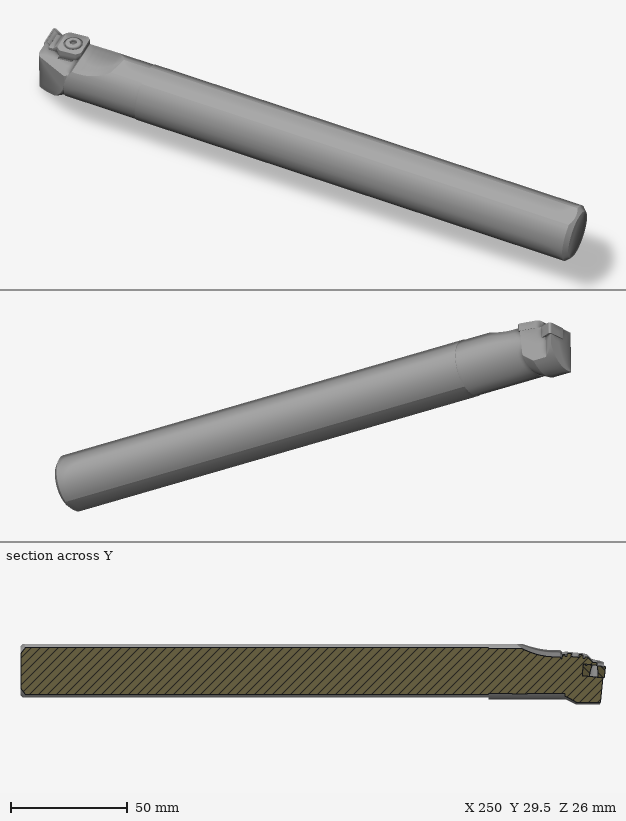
import cadquery as cq
import math

length = 250.0
shank_radius = 12.5
flat_height = 11.5
end_chamfer = 2.0

neck_radius = 12.2
neck_start = 17.0
neck_end = 50.0

head_radius = 15.8
head_center_y = 1.8
head_bottom = -14.5
head_center_z = head_bottom + head_radius
head_start = -2.5
head_taper_start = 12.5
head_taper_end = 17.5
head_back_radius = 13.2

side_tilt = 11.4
front_tilt = 5.7
tip_y = 17.0
wall_depth = 30.0
shelf_clearance = 15.0

head_front = 0.62
head_back = 30.0
prow_setback = 2.0
head_side = -4.2
corner_v = -19.5
corner_angle = 30.0
corner_radius = 4.0
shelf_back = 18.0
step_lean = 40.0
shelf_half_width = 62.5

insert_angle = 55.0
inscribed_diameter = 9.5
insert_thickness = 4.8
nose_radius = 0.8
nose_sharp_v = nose_radius / math.tan(math.radians(insert_angle / 2)) - nose_radius
insert_hole_radius = 1.88
groove_margin = 0.62
groove_width = 0.8
groove_depth = 0.2

scoop_radius = 31.5
scoop_low_x = 21.2
scoop_low_z = 7.2
scoop_tilt = 9.6
scoop_width = 50.0

clamp_front = 8.0
clamp_back = 19.0
clamp_side = -4.0
clamp_inner_side = -17.0
clamp_height = 3.2
clamp_corner = 1.8
clamp_outer_corner = 1.2
clamp_nose_front = 3.8
clamp_nose_height = 1.2
clamp_nose_step = 5.8
clamp_nose_gap = 0.8
clamp_relief_width = 1.8
clamp_relief_depth = 0.8
clamp_relief_end = 16.2

screw_u = 13.5
screw_v = -10.5
screw_recess_radius = 4.2
screw_recess_depth = 0.8
screw_head_radius = 3.5
screw_rise = 0.8
screw_round = 0.8
socket_width = 3.5
socket_depth = 1.2


def tilted_directions():
    """Directions of the tilted frame: along the bar, and square to the insert face."""
    side = math.radians(side_tilt)
    front = math.radians(front_tilt)
    x_dir = cq.Vector(math.cos(front), math.sin(front) * math.sin(side), math.sin(front) * math.cos(side))
    y_dir = cq.Vector(0, math.cos(side), -math.sin(side))
    return x_dir, x_dir.cross(y_dir)


tilted_x, tilted_up = tilted_directions()


def cutting_plane(height=0.0):
    """Workplane parallel to the insert face; height is measured up from that face."""
    plane = cq.Plane(origin=(0, tip_y, 0), xDir=tilted_x, normal=tilted_up)
    return cq.Workplane(plane).workplane(offset=height)


def tilted_prism(profile, start_v, width):
    """Prism of an upright (u, height) profile, running from start_v towards -v in the tilted frame."""
    base = cutting_plane().plane
    origin = base.toWorldCoords((0, start_v, 0)).toTuple()
    side = cq.Plane(origin=origin, xDir=tilted_x, normal=-base.yDir)
    return cq.Workplane(side).polyline(profile).close().extrude(width)


def round_bar(radius, start, end):
    return cq.Workplane("YZ", origin=(start, 0, 0)).circle(radius).extrude(end - start)


def make_shank():
    bar = round_bar(shank_radius, neck_end, length).faces(">X").chamfer(end_chamfer)
    flats = cq.Workplane("XY").box(2 * length, 4 * shank_radius, 2 * flat_height)
    return bar.intersect(flats)


def make_neck():
    bar = round_bar(neck_radius, neck_start, neck_end)
    below_flat = cq.Workplane("XY", origin=(0, 0, flat_height - length / 2)).box(2 * length, length, length)
    return bar.intersect(below_flat)


def make_head():
    """Off-centre blank trimmed by the tilted front, corner and side walls."""
    profile = [
        (head_start, 0),
        (head_start, head_radius),
        (head_taper_start, head_radius),
        (head_taper_end, head_back_radius),
        (head_taper_end, 0),
    ]
    axis = cq.Workplane("XY", origin=(0, head_center_y, head_center_z))
    blank = axis.polyline(profile).close().revolve(360, (0, 0, 0), (1, 0, 0))
    prow_v = nose_sharp_v - prow_setback
    corner_drop = (head_back - head_front) * math.tan(math.radians(corner_angle))
    outline = [
        (head_front, prow_v),
        (head_front + (prow_v - head_side) * math.tan(math.radians(insert_angle)), head_side),
        (head_back, head_side),
        (head_back, corner_v - corner_drop),
        (head_front, corner_v),
    ]
    walls = cutting_plane(-wall_depth).polyline(outline).close().extrude(wall_depth)
    corner_pick = cutting_plane().plane.toWorldCoords((head_front, corner_v, -wall_depth / 2))
    walls = walls.edges(cq.selectors.NearestToPointSelector(corner_pick)).fillet(corner_radius)
    return blank.intersect(walls)


def insert_corners():
    angle = math.radians(insert_angle)
    edge = inscribed_diameter / math.sin(angle)
    drop = edge * math.cos(angle)
    return [
        (0, nose_sharp_v),
        (0, nose_sharp_v - edge),
        (inscribed_diameter, nose_sharp_v - edge - drop),
        (inscribed_diameter, nose_sharp_v - drop),
    ]


def insert_blank():
    plate = cutting_plane(-insert_thickness).polyline(insert_corners()).close().extrude(insert_thickness)
    return plate.edges(cq.selectors.ParallelDirSelector(tilted_up)).fillet(nose_radius)


def inset_prism(margin):
    base = cutting_plane(-groove_depth).polyline(insert_corners()).close()
    return base.offset2D(-margin).extrude(2 * groove_depth)


def make_insert():
    insert = insert_blank()
    groove = inset_prism(groove_margin).cut(inset_prism(groove_margin + groove_width))
    corners = insert_corners()
    center = ((corners[0][0] + corners[2][0]) / 2, (corners[0][1] + corners[2][1]) / 2)
    hole = cutting_plane().center(*center).circle(insert_hole_radius).extrude(-insert_thickness)
    return insert.cut(groove).cut(hole)


def shelf_space():
    """Space above the cutting plane, ending in a step that leans back towards the scoop."""
    lean_run = shelf_clearance * math.tan(math.radians(step_lean))
    profile = [
        (-shelf_back, 0),
        (shelf_back, 0),
        (shelf_back + lean_run, shelf_clearance),
        (-shelf_back, shelf_clearance),
    ]
    return tilted_prism(profile, shelf_half_width, 2 * shelf_half_width)


def scoop_space():
    plane = cq.Workplane("XZ").transformed(rotate=(-scoop_tilt, 0, 0))
    center = (scoop_low_x, scoop_low_z + scoop_radius)
    return plane.center(*center).circle(scoop_radius).extrude(scoop_width / 2, both=True)


def clamp_relief():
    """Shallow channel in the shelf beside the clamp."""
    return (
        cutting_plane(-clamp_relief_depth)
        .moveTo(inscribed_diameter, clamp_inner_side - clamp_relief_width)
        .lineTo(clamp_relief_end, clamp_inner_side - clamp_relief_width)
        .lineTo(clamp_relief_end, clamp_inner_side)
        .lineTo(inscribed_diameter, clamp_inner_side).close()
        .extrude(shelf_clearance)
    )


def make_clamp():
    outline = [
        (clamp_front, clamp_side - clamp_outer_corner),
        (clamp_front + clamp_outer_corner, clamp_side),
        (clamp_back - clamp_outer_corner, clamp_side),
        (clamp_back, clamp_side - clamp_outer_corner),
        (clamp_back, clamp_inner_side + clamp_corner),
        (clamp_back - clamp_corner, clamp_inner_side),
        (clamp_front + clamp_corner, clamp_inner_side),
        (clamp_front, clamp_inner_side + clamp_corner),
    ]
    body = cutting_plane().polyline(outline).close().extrude(clamp_height)
    recess = (
        cutting_plane(clamp_height).center(screw_u, screw_v)
        .circle(screw_recess_radius).extrude(-screw_recess_depth)
    )
    return body.cut(recess).union(make_clamp_nose())


def make_clamp_nose():
    """Wedge that reaches forward over the insert."""
    width = clamp_side - clamp_outer_corner - clamp_inner_side - clamp_corner - clamp_nose_gap
    profile = [
        (clamp_nose_front, 0),
        (clamp_front, 0),
        (clamp_front, clamp_height),
        (clamp_nose_step, clamp_nose_height),
        (clamp_nose_front, clamp_nose_height),
    ]
    return tilted_prism(profile, clamp_side - clamp_outer_corner, width)


def make_screw():
    seat = clamp_height - screw_recess_depth
    top = clamp_height + screw_rise
    head = cutting_plane(seat).center(screw_u, screw_v).circle(screw_head_radius).extrude(top - seat)
    head = head.faces(cq.selectors.DirectionMinMaxSelector(tilted_up)).edges().fillet(screw_round)
    socket = (
        cutting_plane(top).center(screw_u, screw_v)
        .polygon(6, socket_width).extrude(-socket_depth)
    )
    return head.cut(socket)


def make_holder():
    bar = make_shank().union(make_neck()).union(make_head())
    bar = bar.cut(shelf_space()).cut(scoop_space()).cut(clamp_relief()).cut(insert_blank())
    return bar.union(make_clamp()).union(make_screw())


holder = make_holder()
insert = make_insert()
result = cq.Compound.makeCompound([holder.solids().val(), insert.solids().val()])